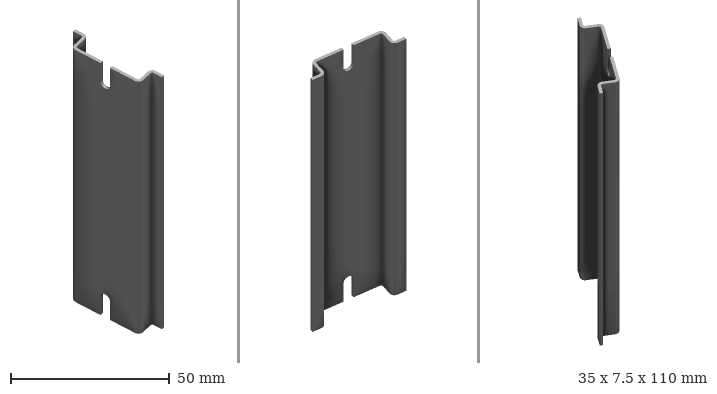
import cadquery as cq

length = 110.0
rail_width = 35.0
rail_depth = 7.5

thickness = 1.1
channel_width = 27.0
inner_bend_radius = 0.7
outer_bend_radius = inner_bend_radius + thickness

slot_width = 3.6
slot_length = 10.0


def make_rail():
    """Extrude the top-hat section along Z, web at the front and flanges at the back."""
    half_rail = rail_width / 2
    half_channel = channel_width / 2
    half_inside = half_channel - thickness
    front = -rail_depth / 2
    back = rail_depth / 2

    right_half = [
        (half_channel, front),
        (half_channel, back - thickness),
        (half_rail, back - thickness),
        (half_rail, back),
        (half_inside, back),
        (half_inside, front + thickness),
    ]
    left_half = [(-x, y) for x, y in reversed(right_half)]
    rail = cq.Workplane("XY").polyline(right_half + left_half).close().extrude(length)
    rail = rail.translate((0, 0, -length / 2))

    outer_corners = [(half_channel, front), (half_inside, back)]
    inner_corners = [(half_inside, front + thickness), (half_channel, back - thickness)]
    for corners, radius in ((outer_corners, outer_bend_radius), (inner_corners, inner_bend_radius)):
        for x, y in corners:
            for side in (-1, 1):
                bend_edge = cq.selectors.NearestToPointSelector((side * x, y, 0))
                rail = rail.edges("|Z").edges(bend_edge).fillet(radius)
    return rail


def make_slot(end):
    """Round-bottomed slot cutter entering from the bottom (-1) or top (+1) end."""
    half_width = slot_width / 2
    mouth = end * length / 2
    arc_start = mouth - end * (slot_length - half_width)
    slot_bottom = mouth - end * slot_length
    return (
        cq.Workplane("XZ")
        .moveTo(-half_width, mouth)
        .lineTo(-half_width, arc_start)
        .threePointArc((0, slot_bottom), (half_width, arc_start))
        .lineTo(half_width, mouth)
        .close()
        .extrude(rail_depth, both=True)
    )


result = make_rail()
for end in (-1, 1):
    result = result.cut(make_slot(end))